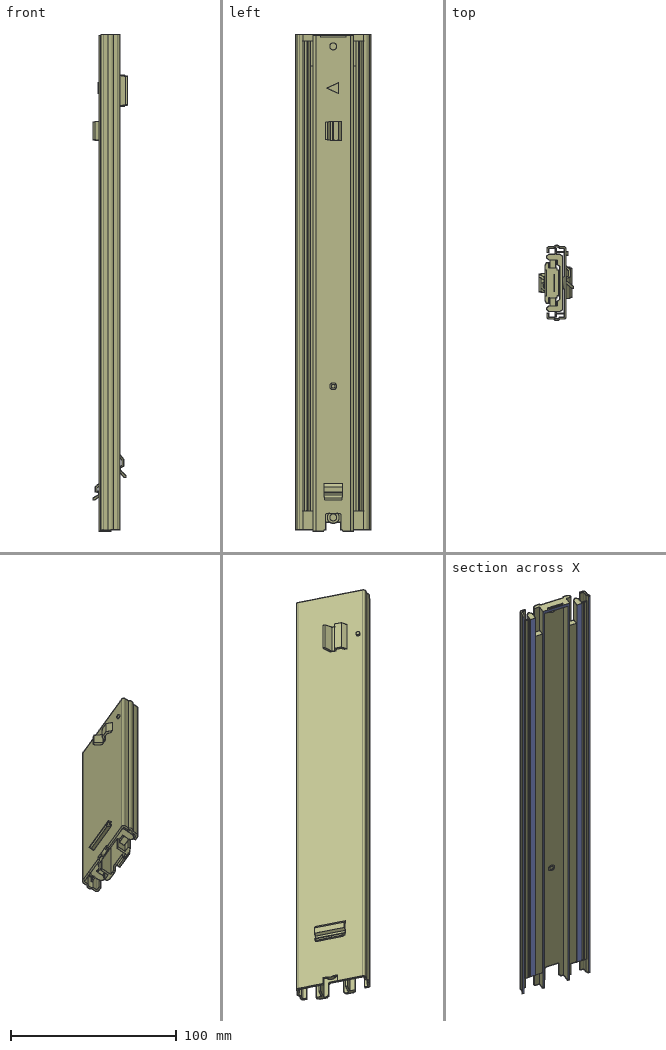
import cadquery as cq


LENGTH = 300.0
TOTAL_DEPTH = 21.0
TOTAL_HEIGHT = 45.5
HOOK_REACH = TOTAL_DEPTH / 2
SHEET = 1.2

OUTER_BOTTOM = 1.0
OUTER_BACK = 6.0
OUTER_FRONT = -5.7
CREST = TOTAL_HEIGHT / 2
OUTER_SIDE = 22.0
LIP_END = 18.3
TRACK_START = -1.5
TRACK_END = 2.0
TRACK_MIDDLE = (TRACK_START + TRACK_END) / 2
OUTER_BEND = 1.5
OUTER_NOTCH_HALF = 4.5
OUTER_NOTCH_TOP = 5.5
CATCH_Z = 8.5
CATCH_OUTER_RADIUS = 3.5
CATCH_INNER_RADIUS = 2.0
CATCH_HEIGHT = 1.2
STUD_RADIUS = 1.2
STUD_HEIGHT = 1.2
STUD_Y = 17.7
STUD_Z = 266.0

MIDDLE_BOTTOM = 12.3
MIDDLE_TOP = 296.0
MIDDLE_BACK = 4.0
MIDDLE_WEB_FRONT = 2.0
MIDDLE_SIDE = 17.5
BEAD_INNER = 13.8
BEAD_FRONT = -6.0
BEAD_NOSE = 1.5
NECK_INNER = 10.0
NECK_FRONT = 0.5

INNER_TOP = 299.5
INNER_FRONT = -7.0
INNER_BACK = 0.5
INNER_SIDE = 12.3
RIM_SLOPE_WIDTH = 1.8
RIM_SLOPE_DEPTH = 1.0
RIM_BACK = -4.5
FLANGE_OUTER = 9.0
FLANGE_INNER = FLANGE_OUTER - SHEET
INNER_NOTCH_HALF = 4.8
INNER_NOTCH_TOP = 10.8
INNER_NOTCH_FILLET = 1.2
NOTCH_FLARE = 1.2
END_TAB = 2 * SHEET
END_TAB_BACK = 1.5
END_TAB_BEND = 1.0
CREASE_DEPTH = 0.5
CREASE_HALF_LENGTH = 5.0
CREASE_WIDTH = 0.3
CREASE_X = -1.5
HOLE_RADIUS = 2.0
TOP_HOLE_Z = 292.8
RIVET_Z = 87.5
RIVET_RADIUS = 1.2
ARROW_Z = 267.5
ARROW_TIP_Y = 4.0
ARROW_BASE_Y = -3.3
ARROW_HALF = 3.3
ARROW_HEIGHT = 0.5

OUTER_CAGE_FRONT = -1.0
OUTER_CAGE_LEG_BACK = 0.0
OUTER_CAGE_BACK = 4.2
OUTER_CAGE_PLATE_Y = 18.3
OUTER_CAGE_PLATE = 0.5
INNER_CAGE_TOP = 281.0
INNER_CAGE_FRONT = -4.0
INNER_CAGE_BACK = -0.3

FRONT_HOOK_LENGTH = 10.0
FRONT_HOOK_WIDTH = 11.5
FRONT_UPRIGHT_TOP = 28.8
FRONT_CROSS_ROOT = -5.0
FRONT_CROSS_Z = 241.8
BACK_HOOK_LENGTH = 13.8
BACK_HOOK_WIDTH = 19.0
BACK_UPRIGHT_HEIGHT = 3.5
BACK_UPRIGHT_TOP = 46.2
BACK_CROSS_ROOT = 10.5
BACK_CROSS_Z = STUD_Z
HOOK_SHEET = 1.2
HOOK_ROOT = 0.3


def both_sides(shape):
    """Add the mirror image of a half shape across the plane Y = 0."""
    return shape.union(shape.mirror("XZ"))


def block(x_low, x_high, y_low, y_high, z_low, z_high):
    """Box between opposite corner coordinates."""
    return cq.Workplane("XY").box(x_high - x_low, y_high - y_low, z_high - z_low, centered=False).translate(
        (x_low, y_low, z_low)
    )


def hook(length, width, height):
    """Lanced hook on the plane X = 0: one bent strip running down -Z, with its tip pointing to +X."""
    crest = 0.6 * height
    crest_start = 0.2 * length
    crest_end = 0.5 * length
    valley_start = 0.56 * length
    valley_end = 0.68 * length
    strip = (
        cq.Workplane("XZ")
        .polyline(
            [
                (0, 0),
                (crest, -crest_start),
                (crest, -crest_end),
                (HOOK_ROOT, -valley_start),
                (HOOK_ROOT, -valley_end),
                (height, -length + HOOK_SHEET),
                (height, -length),
                (height - HOOK_SHEET, -length),
                (-HOOK_ROOT, -valley_end - HOOK_SHEET),
                (-HOOK_ROOT, -valley_start + HOOK_SHEET / 2),
                (crest - HOOK_SHEET, -crest_end + HOOK_SHEET / 2),
                (crest - HOOK_SHEET, -crest_start - HOOK_SHEET / 2),
                (-HOOK_ROOT, -HOOK_SHEET),
                (-HOOK_ROOT, 0),
            ]
        )
        .close()
        .extrude(width / 2, both=True)
    )
    tip_half = 0.45 * width
    outline = (
        cq.Workplane("YZ")
        .workplane(offset=-HOOK_ROOT)
        .polyline(
            [
                (-width / 2, 0),
                (width / 2, 0),
                (width / 2, -valley_end),
                (tip_half, -length),
                (-tip_half, -length),
                (-width / 2, -valley_end),
            ]
        )
        .close()
        .extrude(height + HOOK_ROOT)
    )
    return strip.intersect(outline)


def front_hooks():
    """Upright hook near the bottom and sideways hook near the top of the inner web."""
    base = hook(FRONT_HOOK_LENGTH, FRONT_HOOK_WIDTH, HOOK_REACH + INNER_FRONT).mirror("YZ")
    upright = base.translate((INNER_FRONT, 0, FRONT_UPRIGHT_TOP))
    sideways = base.rotate((0, 0, 0), (1, 0, 0), 90)
    return upright, sideways.translate((INNER_FRONT, FRONT_CROSS_ROOT, FRONT_CROSS_Z))


def back_hooks():
    """Upright hook near the bottom and sideways hook near the top of the outer web."""
    upright = hook(BACK_HOOK_LENGTH, BACK_HOOK_WIDTH, BACK_UPRIGHT_HEIGHT).translate(
        (OUTER_BACK, 0, BACK_UPRIGHT_TOP)
    )
    flat = hook(BACK_HOOK_LENGTH, BACK_HOOK_WIDTH, HOOK_REACH - OUTER_BACK)
    sideways = flat.rotate((0, 0, 0), (1, 0, 0), -90)
    return upright, sideways.translate((OUTER_BACK, BACK_CROSS_ROOT, BACK_CROSS_Z))


def outer_rail():
    """Widest rail: web at the back, grooved flanges and short lips at the front."""
    bend_inside = OUTER_BEND - SHEET
    half = (
        cq.Workplane("XY")
        .workplane(offset=OUTER_BOTTOM)
        .moveTo(OUTER_BACK, 0)
        .lineTo(OUTER_BACK, OUTER_SIDE - OUTER_BEND)
        .radiusArc((OUTER_BACK - OUTER_BEND, OUTER_SIDE), -OUTER_BEND)
        .lineTo(TRACK_END, OUTER_SIDE)
        .threePointArc((TRACK_MIDDLE, CREST), (TRACK_START, OUTER_SIDE))
        .lineTo(OUTER_FRONT + OUTER_BEND, OUTER_SIDE)
        .radiusArc((OUTER_FRONT, OUTER_SIDE - OUTER_BEND), -OUTER_BEND)
        .lineTo(OUTER_FRONT, LIP_END)
        .lineTo(OUTER_FRONT + SHEET, LIP_END)
        .lineTo(OUTER_FRONT + SHEET, OUTER_SIDE - OUTER_BEND)
        .radiusArc((OUTER_FRONT + OUTER_BEND, OUTER_SIDE - SHEET), bend_inside)
        .lineTo(TRACK_START, OUTER_SIDE - SHEET)
        .threePointArc((TRACK_MIDDLE, CREST - SHEET), (TRACK_END, OUTER_SIDE - SHEET))
        .lineTo(OUTER_BACK - OUTER_BEND, OUTER_SIDE - SHEET)
        .radiusArc((OUTER_BACK - SHEET, OUTER_SIDE - OUTER_BEND), bend_inside)
        .lineTo(OUTER_BACK - SHEET, 0)
        .close()
        .extrude(LENGTH - OUTER_BOTTOM)
    )
    notch = block(
        OUTER_BACK - SHEET, OUTER_BACK, -OUTER_NOTCH_HALF, OUTER_NOTCH_HALF, OUTER_BOTTOM, OUTER_NOTCH_TOP
    )
    catch = (
        cq.Workplane("YZ")
        .workplane(offset=OUTER_BACK - SHEET - CATCH_HEIGHT)
        .center(0, CATCH_Z)
        .circle(CATCH_OUTER_RADIUS)
        .circle(CATCH_INNER_RADIUS)
        .extrude(SHEET + CATCH_HEIGHT)
    )
    stud = (
        cq.Workplane("YZ")
        .workplane(offset=OUTER_BACK)
        .center(STUD_Y, STUD_Z)
        .circle(STUD_RADIUS)
        .extrude(STUD_HEIGHT)
    )
    rail = both_sides(half).cut(notch).union(catch).union(stud)
    for back_hook in back_hooks():
        rail = rail.union(back_hook)
    return rail


def middle_rail():
    """Rail with a web at the back and a nosed bead along each edge."""
    half = (
        cq.Workplane("XY")
        .workplane(offset=MIDDLE_BOTTOM)
        .polyline(
            [
                (MIDDLE_BACK, 0),
                (MIDDLE_BACK, MIDDLE_SIDE - SHEET),
                (MIDDLE_WEB_FRONT, MIDDLE_SIDE),
                (BEAD_FRONT + BEAD_NOSE, MIDDLE_SIDE),
                (BEAD_FRONT, MIDDLE_SIDE - BEAD_NOSE),
                (BEAD_FRONT, BEAD_INNER + BEAD_NOSE),
                (BEAD_FRONT + BEAD_NOSE, BEAD_INNER),
                (NECK_FRONT, BEAD_INNER),
                (NECK_FRONT, NECK_INNER + SHEET),
                (MIDDLE_WEB_FRONT, NECK_INNER),
                (MIDDLE_WEB_FRONT, 0),
            ]
        )
        .close()
        .extrude(MIDDLE_TOP - MIDDLE_BOTTOM)
    )
    return both_sides(half)


def inner_profile():
    """Front web with a rim along each edge and two flanges that run to the back."""
    half = (
        cq.Workplane("XY")
        .moveTo(INNER_FRONT, 0)
        .lineTo(INNER_FRONT, INNER_SIDE - RIM_SLOPE_WIDTH)
        .lineTo(INNER_FRONT + RIM_SLOPE_DEPTH, INNER_SIDE)
        .lineTo(RIM_BACK, INNER_SIDE)
        .lineTo(RIM_BACK, FLANGE_OUTER)
        .lineTo(INNER_BACK, FLANGE_OUTER)
        .lineTo(INNER_BACK, FLANGE_INNER)
        .lineTo(INNER_FRONT + SHEET, FLANGE_INNER)
        .lineTo(INNER_FRONT + SHEET, 0)
        .close()
        .extrude(INNER_TOP)
    )
    return both_sides(half)


def end_tab():
    """Tab that closes the top end of the inner rail, with a crease across it."""
    tab = block(INNER_FRONT, END_TAB_BACK, -FLANGE_INNER, FLANGE_INNER, INNER_TOP - END_TAB, INNER_TOP)
    crease = block(
        CREASE_X,
        CREASE_X + CREASE_WIDTH,
        -CREASE_HALF_LENGTH,
        CREASE_HALF_LENGTH,
        INNER_TOP - CREASE_DEPTH,
        INNER_TOP,
    )
    return tab.cut(crease)


def end_tab_bevel():
    """Bevelled bend between the inner web and its end tab."""
    return (
        cq.Workplane("XZ")
        .polyline(
            [
                (INNER_FRONT, INNER_TOP),
                (INNER_FRONT + END_TAB_BEND, INNER_TOP),
                (INNER_FRONT, INNER_TOP - END_TAB_BEND),
            ]
        )
        .close()
        .extrude(FLANGE_INNER, both=True)
    )


def inner_notch():
    """Notch in the bottom of the inner web, rounded at the top and flared at the mouth."""
    slot = (
        block(INNER_FRONT, INNER_FRONT + SHEET, -INNER_NOTCH_HALF, INNER_NOTCH_HALF, 0, INNER_NOTCH_TOP)
        .edges("|X and >Z")
        .fillet(INNER_NOTCH_FILLET)
    )
    mouth_half = INNER_NOTCH_HALF + NOTCH_FLARE
    flare = (
        cq.Workplane("YZ")
        .workplane(offset=INNER_FRONT)
        .polyline(
            [
                (-mouth_half, 0),
                (mouth_half, 0),
                (INNER_NOTCH_HALF, NOTCH_FLARE),
                (-INNER_NOTCH_HALF, NOTCH_FLARE),
            ]
        )
        .close()
        .extrude(SHEET)
    )
    return slot.union(flare)


def web_hole(z, radius):
    """Round cutter through the inner web."""
    return cq.Workplane("YZ").workplane(offset=INNER_FRONT).center(0, z).circle(radius).extrude(SHEET)


def arrow():
    """Raised arrowhead on the front of the inner web."""
    return (
        cq.Workplane("YZ")
        .workplane(offset=INNER_FRONT)
        .polyline(
            [
                (ARROW_TIP_Y, ARROW_Z),
                (ARROW_BASE_Y, ARROW_Z + ARROW_HALF),
                (ARROW_BASE_Y, ARROW_Z - ARROW_HALF),
            ]
        )
        .close()
        .extrude(-ARROW_HEIGHT)
    )


def inner_rail():
    """Narrowest rail, at the front of the slide."""
    rivet_ring = web_hole(RIVET_Z, HOLE_RADIUS).cut(web_hole(RIVET_Z, RIVET_RADIUS))
    rivet_recess = rivet_ring.intersect(
        block(INNER_FRONT, INNER_FRONT + SHEET / 2, -INNER_SIDE, INNER_SIDE, 0, INNER_TOP)
    )
    rail = inner_profile().union(end_tab()).cut(end_tab_bevel()).cut(inner_notch())
    rail = rail.cut(web_hole(TOP_HOLE_Z, HOLE_RADIUS)).cut(rivet_recess).union(arrow())
    for front_hook in front_hooks():
        rail = rail.union(front_hook)
    return rail


def outer_cage():
    """Ball cage on the +Y side between the outer and middle rails, as an angle strip."""
    leg = block(
        OUTER_CAGE_FRONT,
        OUTER_CAGE_LEG_BACK,
        MIDDLE_SIDE,
        OUTER_SIDE - SHEET,
        MIDDLE_BOTTOM,
        MIDDLE_TOP,
    )
    plate = block(
        OUTER_CAGE_LEG_BACK,
        OUTER_CAGE_BACK,
        OUTER_CAGE_PLATE_Y,
        OUTER_CAGE_PLATE_Y + OUTER_CAGE_PLATE,
        MIDDLE_BOTTOM,
        MIDDLE_TOP,
    )
    return leg.union(plate)


def inner_cage():
    """Ball cage on the +Y side between the middle and inner rails."""
    return block(INNER_CAGE_FRONT, INNER_CAGE_BACK, FLANGE_OUTER, BEAD_INNER, MIDDLE_BOTTOM, INNER_CAGE_TOP)


bodies = []
for rail in (outer_rail(), middle_rail(), inner_rail()):
    bodies.append(rail.solids().val())
for cage in (outer_cage(), inner_cage()):
    bodies.append(cage.solids().val())
    bodies.append(cage.mirror("XZ").solids().val())

result = cq.Compound.makeCompound(bodies)